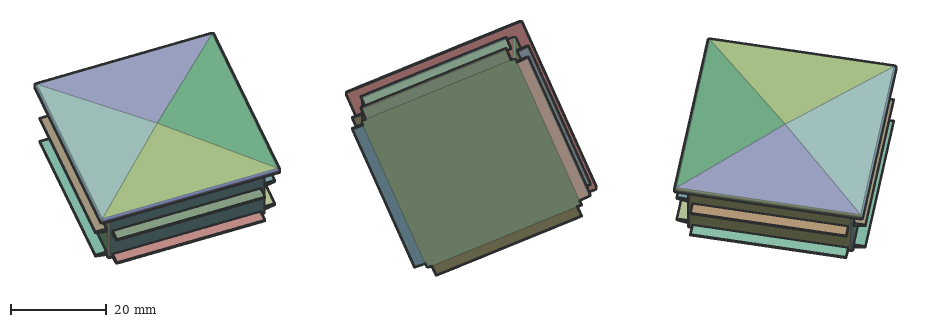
import cadquery as cq

cap_width = 40.0
cap_bottom = 15.0
rim_height = 1.0
edge_radius = 0.5
total_height = 17.0
cap_top = cap_bottom + rim_height

body_width = 35.0
body_corner_radius = 0.5

fin_length = 33.0
fin_root_thickness = 1.0
fin_tip_thickness = 0.5
fin_tip_radius = 0.3
fin_embed = 0.4
fin_top_heights = (fin_root_thickness, 8.5)


def make_rim():
    """Square plate with rounded corners and a rounded upper edge."""
    plate = cq.Workplane("XY", origin=(0, 0, cap_bottom)).rect(cap_width, cap_width).extrude(rim_height)
    return plate.edges("|Z or >Z").fillet(edge_radius)


def make_roof():
    """Low pyramid covering the flat top of the rim."""
    half = cap_width / 2 - edge_radius
    square = ((-half, -half), (half, -half), (half, half), (-half, half))
    corners = [cq.Vector(x, y, cap_top) for x, y in square]
    apex = cq.Vector(0, 0, total_height)
    faces = [cq.Face.makeFromWires(cq.Wire.makePolygon(corners, close=True))]
    for start, end in zip(corners, corners[1:] + corners[:1]):
        faces.append(cq.Face.makeFromWires(cq.Wire.makePolygon([start, end, apex], close=True)))
    return cq.Workplane(obj=cq.Solid.makeSolid(cq.Shell.makeShell(faces)))


def make_body():
    """Square plug below the cap, with rounded vertical corners."""
    block = cq.Workplane("XY").rect(body_width, body_width).extrude(cap_bottom)
    return block.edges("|Z").fillet(body_corner_radius)


def make_fin(top):
    """Fin on the +X side: flat on top, tapering from below towards a tip rounded underneath."""
    root = body_width / 2
    tip = cap_width / 2
    profile = [
        (root - fin_embed, top),
        (tip, top),
        (tip, top - fin_tip_thickness),
        (root, top - fin_root_thickness),
        (root - fin_embed, top - fin_root_thickness),
    ]
    fin_bar = cq.Workplane("XZ").polyline(profile).close().extrude(fin_length / 2, both=True)
    tip_edge = cq.selectors.NearestToPointSelector((tip, 0, top - fin_tip_thickness))
    return fin_bar.edges(tip_edge).fillet(fin_tip_radius)


result = make_body().union(make_rim()).union(make_roof())
for fin_top in fin_top_heights:
    fin = make_fin(fin_top)
    for angle in range(0, 360, 90):
        result = result.union(fin.rotate((0, 0, 0), (0, 0, 1), angle))